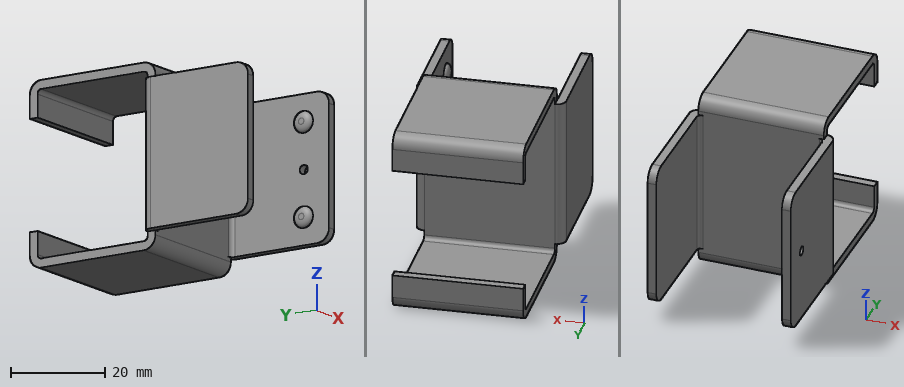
import cadquery as cq

sheet = 2.0
inner_bend = 1.0
outer_bend = inner_bend + sheet

channel_width = 28.45
channel_height = 41.1
channel_depth = 32.25
lip_height = 8.15

total_depth = 57.4
ear_height = 33.2
ear_corner_radius = 3.0
ear_span = channel_width + 2 * sheet
web_front = total_depth - channel_depth
web_back = web_front + sheet

rivet_spacing = 20.85
rivet_setback = 6.5
rivet_radius = 2.4
rivet_flat_radius = 0.7
rivet_height = 1.05
hole_diameter = 2.0


def box_between(x_range, y_range, height):
    """Box with the given X and Y limits, centred on Z = 0."""
    size_x = x_range[1] - x_range[0]
    size_y = y_range[1] - y_range[0]
    box = cq.Workplane("XY").box(size_x, size_y, height)
    return box.translate((sum(x_range) / 2, sum(y_range) / 2, 0))


def make_channel():
    """C channel with rounded bends, open toward +Y between its lips."""
    half_width = channel_width / 2
    outer = box_between((-half_width, half_width), (web_front, total_depth), channel_height)
    outer = outer.edges("|X").fillet(outer_bend)
    inner = box_between(
        (-half_width, half_width), (web_back, total_depth - sheet), channel_height - 2 * sheet
    )
    inner = inner.edges("|X").fillet(inner_bend)
    mouth = box_between(
        (-half_width, half_width), (web_back, total_depth), channel_height - 2 * lip_height
    )
    return outer.cut(inner).cut(mouth)


def make_ears():
    """U-shaped bracket whose base lies in the channel web."""
    half_span = ear_span / 2
    half_gap = channel_width / 2
    outer = box_between((-half_span, half_span), (0, web_back), ear_height)
    outer = outer.edges("|Z and >Y").fillet(sheet)
    outer = outer.edges("|X and <Y").fillet(ear_corner_radius)
    gap = box_between((-half_gap, half_gap), (-sheet, web_front), ear_height)
    gap = gap.edges("|Z and >Y").fillet(inner_bend)
    return outer.cut(gap)


def make_rivet_head():
    """Flat-topped domed head, with its axis along -X from the ear's inner face."""
    profile = (
        cq.Workplane("XY")
        .lineTo(rivet_radius, 0)
        .ellipseArc(
            rivet_radius - rivet_flat_radius, rivet_height, 0, 90, startAtCurrent=True
        )
        .lineTo(0, rivet_height)
        .close()
    )
    head = profile.revolve(360, (0, 0, 0), (0, 1, 0))
    return head.rotate((0, 0, 0), (0, 0, 1), 90)


result = make_channel().union(make_ears())

for side in (-1, 1):
    rivet_place = (channel_width / 2, rivet_setback, side * rivet_spacing / 2)
    result = result.union(make_rivet_head().translate(rivet_place))

hole = (
    cq.Workplane("YZ", origin=(channel_width / 2, rivet_setback, 0))
    .circle(hole_diameter / 2)
    .extrude(sheet)
)
result = result.cut(hole)